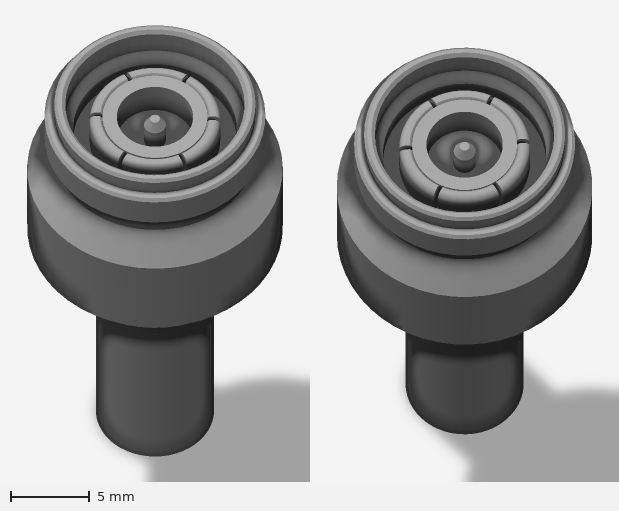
import cadquery as cq

TUBE_R = 7.5 / 2
SLEEVE_R = 4.4
BASE_R = 6.9
BASE_STEP_R = 6.8
BASE_FOOT_R = 6.47
BODY_FOOT_R = 7.0
BODY_R = 8.1
NECK_R = 6.37
COLLAR_R = 7.0

SLEEVE_BOTTOM = 13.03
BASE_BOTTOM = 16.52
BASE_EDGE = 17.0
BASE_STEP = 17.2
BODY_FOOT = 17.75
BODY_BOTTOM = 18.68
BODY_TOP = 24.65
NECK_BOTTOM = 26.45
COLLAR_BOTTOM = 27.8
COLLAR_TOP = 30.2
TOTAL_HEIGHT = 31.4
EDGE_CHAMFER = 0.2

RIM_BORE_R = 5.9
BORE_R = 5.68
SOCKET_FLOOR_R = 5.18
BORE_BOTTOM = 29.52
CONE_BOTTOM = 28.73
SOCKET_FLOOR = 27.57

RING_OUTER_R = 4.15
RING_INNER_R = 3.33
RING_TOP = 30.0
RING_ROUND = 0.45
RING_CHAMFER = 0.15
SLOT_WIDTH = 0.28
SLOT_COUNT = 6

INSULATOR_TOP = 29.92
INSULATOR_BORE_R = 2.42
PIN_R = 0.7
PIN_TIP_R = 0.3
PIN_TOP = 29.75
PIN_SHOULDER = 29.1


def revolve(points):
    """Turn a closed (radius, height) outline about the Z axis."""
    return cq.Workplane("XZ").polyline(points).close().revolve(360, (0, 0, 0), (0, 1, 0))


def make_shell():
    return revolve([
        (0, 0),
        (TUBE_R, 0),
        (TUBE_R, SLEEVE_BOTTOM),
        (SLEEVE_R - EDGE_CHAMFER, SLEEVE_BOTTOM),
        (SLEEVE_R, SLEEVE_BOTTOM + EDGE_CHAMFER),
        (SLEEVE_R, BASE_BOTTOM),
        (BASE_FOOT_R, BASE_BOTTOM),
        (BASE_STEP_R, BASE_EDGE),
        (BASE_STEP_R, BASE_STEP),
        (BASE_R, BASE_STEP),
        (BASE_R, BODY_FOOT),
        (BODY_FOOT_R, BODY_FOOT),
        (BODY_R, BODY_BOTTOM),
        (BODY_R, BODY_TOP),
        (NECK_R, NECK_BOTTOM),
        (NECK_R, COLLAR_BOTTOM),
        (COLLAR_R - EDGE_CHAMFER, COLLAR_BOTTOM),
        (COLLAR_R, COLLAR_BOTTOM + EDGE_CHAMFER),
        (COLLAR_R, COLLAR_TOP - EDGE_CHAMFER),
        (COLLAR_R - EDGE_CHAMFER, COLLAR_TOP),
        (NECK_R, COLLAR_TOP),
        (NECK_R, TOTAL_HEIGHT - EDGE_CHAMFER),
        (NECK_R - EDGE_CHAMFER, TOTAL_HEIGHT),
        (0, TOTAL_HEIGHT),
    ])


def make_socket():
    return revolve([
        (0, SOCKET_FLOOR),
        (SOCKET_FLOOR_R, SOCKET_FLOOR),
        (SOCKET_FLOOR_R, CONE_BOTTOM),
        (BORE_R, BORE_BOTTOM),
        (BORE_R, TOTAL_HEIGHT - (RIM_BORE_R - BORE_R)),
        (RIM_BORE_R, TOTAL_HEIGHT),
        (0, TOTAL_HEIGHT),
    ])


def make_contact_ring():
    ring = (
        cq.Workplane("XY").workplane(offset=SOCKET_FLOOR)
        .circle(RING_OUTER_R).circle(RING_INNER_R)
        .extrude(RING_TOP - SOCKET_FLOOR)
    )
    ring = ring.faces(">Z").edges(cq.selectors.RadiusNthSelector(1)).fillet(RING_ROUND)
    ring = ring.faces(">Z").edges(cq.selectors.RadiusNthSelector(0)).chamfer(RING_CHAMFER)
    slot_length = RING_OUTER_R + SLOT_WIDTH
    for i in range(SLOT_COUNT):
        slot = (
            cq.Workplane("XY").workplane(offset=SOCKET_FLOOR)
            .center(slot_length / 2, 0)
            .rect(slot_length, SLOT_WIDTH).extrude(RING_TOP - SOCKET_FLOOR)
            .rotate((0, 0, 0), (0, 0, 1), i * 360 / SLOT_COUNT)
        )
        ring = ring.cut(slot)
    return ring


def make_insulator():
    return (
        cq.Workplane("XY").workplane(offset=SOCKET_FLOOR)
        .circle(RING_INNER_R).circle(INSULATOR_BORE_R)
        .extrude(INSULATOR_TOP - SOCKET_FLOOR)
    )


def make_pin():
    return revolve([
        (0, SOCKET_FLOOR),
        (PIN_R, SOCKET_FLOOR),
        (PIN_R, PIN_SHOULDER),
        (PIN_TIP_R, PIN_TOP),
        (0, PIN_TOP),
    ])


result = (
    make_shell()
    .cut(make_socket())
    .union(make_contact_ring())
    .union(make_insulator())
    .union(make_pin())
)